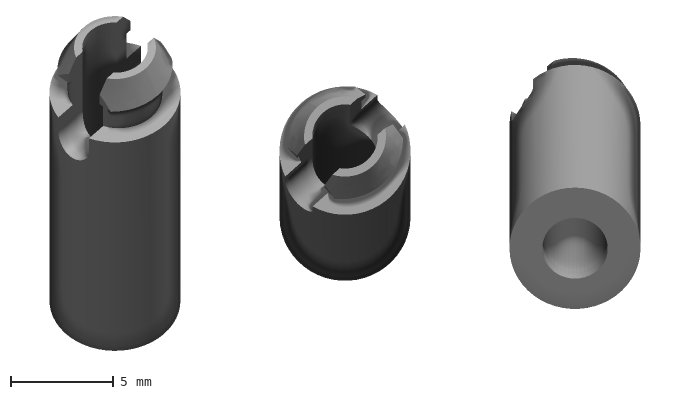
import cadquery as cq


total_height = 19.3
body_diameter = 6.4
bore_diameter = 3.2

lip_height = 1.5
neck_height = 1.9
lip_base_z = total_height - lip_height
shoulder_z = lip_base_z - neck_height

neck_radius = 2.125
neck_centre_shift = 0.25

lip_base_radius = 3.0
lip_base_centre_shift = 0.25
lip_top_radius = 2.0
lip_flat_width = 4.5

slot_width = 2.0
slot_depth = 5.5
slot_radius = slot_width / 2
slot_bottom_z = total_height - slot_depth


def cylinder(radius, base_z, height, centre_x=0):
    return cq.Workplane("XY", origin=(centre_x, 0, base_z)).circle(radius).extrude(height)


def box_above(base_z, height, length_x, width_y, centre_x=0):
    plane = cq.Workplane("XY", origin=(centre_x, 0, base_z))
    return plane.rect(length_x, width_y).extrude(height)


def make_prong(side):
    """Neck and lip on one side of the slot; side is +1 for +X and -1 for -X."""
    prong_height = total_height - shoulder_z
    half_space = box_above(
        shoulder_z, prong_height, body_diameter, body_diameter, side * body_diameter / 2
    )
    lip_envelope = box_above(lip_base_z, lip_height, 2 * body_diameter, lip_flat_width)

    neck = cylinder(neck_radius, shoulder_z, neck_height, side * neck_centre_shift)
    lip = (
        cq.Workplane("XY", origin=(-side * lip_base_centre_shift, 0, lip_base_z))
        .circle(lip_base_radius)
        .workplane(offset=lip_height)
        .center(side * lip_base_centre_shift, 0)
        .circle(lip_top_radius)
        .loft(ruled=True)
        .intersect(lip_envelope)
    )
    return neck.union(lip).intersect(half_space)


def make_slot():
    straight_base_z = slot_bottom_z + slot_radius
    straight = box_above(
        straight_base_z, total_height - straight_base_z, slot_width, body_diameter
    )
    round_bottom = (
        cq.Workplane("XZ", origin=(0, 0, straight_base_z))
        .circle(slot_radius)
        .extrude(body_diameter / 2, both=True)
    )
    return straight.union(round_bottom)


body = cylinder(body_diameter / 2, 0, shoulder_z)
for prong_side in (-1, 1):
    body = body.union(make_prong(prong_side))

bore = cylinder(bore_diameter / 2, 0, total_height)
result = body.cut(bore).cut(make_slot())